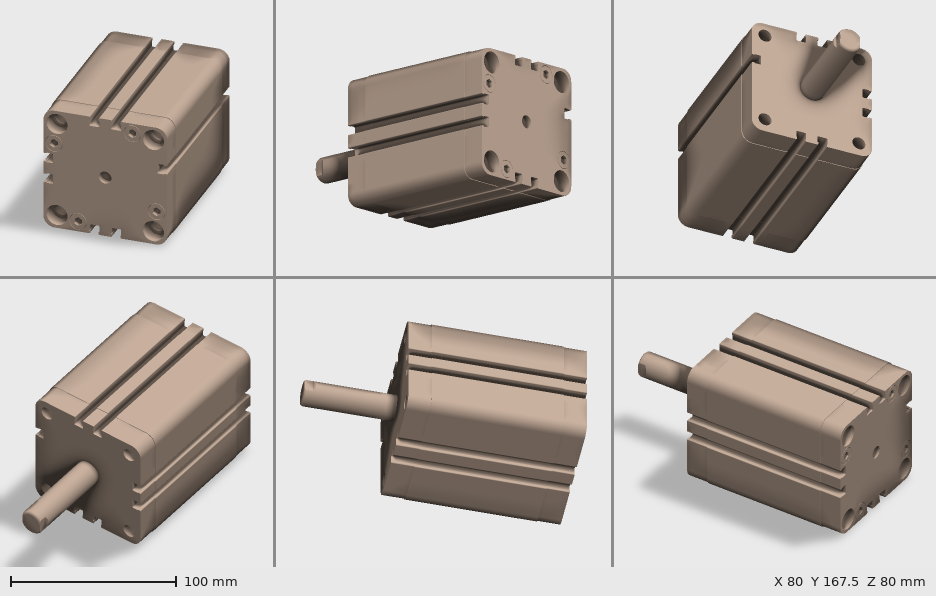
import cadquery as cq
import math

TOTAL_LENGTH = 167.5
ROD_LENGTH = 57.1
HOUSING_LENGTH = TOTAL_LENGTH - ROD_LENGTH

TUBE_SIDE = 80.0
CAP_SIDE = 79.4
CORNER_RADIUS = 7.0
CAP_LENGTH = 14.4
TUBE_LENGTH = HOUSING_LENGTH - 2 * CAP_LENGTH

SLOT_LIP_HEIGHT = 37.7
CAP_SLOT_FLOOR_HEIGHT = 33.5
TUBE_SLOT_FLOOR_HEIGHT = 33.3
SLOT_MOUTH = 5.7
SLOT_WIDTH = 6.5
SLOT_MOUTH_RADIUS = 0.5
SLOT_FLOOR_RADIUS = 0.7
SLOT_PAIR_OFFSET = 7.0
SINGLE_SLOT_HEIGHT = 12.0

MOUNT_OFFSET = 31.0
MOUNT_HOLE_DIAMETER = 8.5
COUNTERBORE_DIAMETER = 13.5
COUNTERBORE_DEPTH = 9.0

SCREW_SIDE_OFFSET = 17.5
SCREW_EDGE_OFFSET = 33.0
SCREW_POCKET_DIAMETER = 11.0
SCREW_HEAD_DIAMETER = 10.5
SCREW_GAP_DEPTH = 6.0
SOCKET_SIDES = 6
SOCKET_FLATS = 5.0
SOCKET_DEPTH = 3.0

PORT_DIAMETER = 8.0
PORT_DEPTH = 4.4

ROD_DIAMETER = 16.0
ROD_END_RADIUS = 1.7
FLATS_WIDTH = 13.0
FLATS_LENGTH = 5.4


def front_plane(y=0.0):
    """XZ sketch plane at the given Y whose normal points along +Y; local x is -X, local y is +Z."""
    return cq.Workplane(cq.Plane(origin=(0, y, 0), xDir=(-1, 0, 0), normal=(0, 1, 0)))


def at(points):
    """Convert (X, Z) places into the local coordinates of a front plane."""
    return [(-x, z) for x, z in points]


def quarter_turns(x, z):
    """The four (X, Z) places reached by turning one place about the Y axis."""
    return [(x, z), (z, -x), (-x, -z), (-z, x)]


def t_slot(top, floor, y, length, offset, turn):
    """T-slot in a face at height top, centred at X = offset, then turned about the Y axis by turn degrees."""
    half_mouth = SLOT_MOUTH / 2
    half_flare = half_mouth + SLOT_MOUTH_RADIUS
    round_start = top - SLOT_MOUTH_RADIUS
    mouth = (
        front_plane(y)
        .center(-offset, 0)
        .moveTo(-half_mouth, SLOT_LIP_HEIGHT)
        .lineTo(half_mouth, SLOT_LIP_HEIGHT)
        .lineTo(half_mouth, round_start)
        .radiusArc((half_flare, top), SLOT_MOUTH_RADIUS)
        .lineTo(-half_flare, top)
        .radiusArc((-half_mouth, round_start), SLOT_MOUTH_RADIUS)
        .close()
        .extrude(length)
    )
    groove_height = SLOT_LIP_HEIGHT - floor
    groove = (
        front_plane(y)
        .center(-offset, floor + groove_height / 2)
        .rect(SLOT_WIDTH, groove_height)
        .extrude(length)
        .faces("<Z")
        .edges("|Y")
        .fillet(SLOT_FLOOR_RADIUS)
    )
    return mouth.union(groove).rotate((0, 0, 0), (0, 1, 0), turn)


def housing_section(side, slot_floor, y, length):
    """Rounded square block with slot pairs on the +Z, -X and -Z faces and a single slot on the +X face."""
    block = front_plane(y).rect(side, side).extrude(length).edges("|Y").fillet(CORNER_RADIUS)
    slots = [(-SINGLE_SLOT_HEIGHT, 90)]
    for turn in (0, -90, 180):
        slots += [(-SLOT_PAIR_OFFSET, turn), (SLOT_PAIR_OFFSET, turn)]
    for offset, turn in slots:
        block = block.cut(t_slot(side / 2, slot_floor, y, length, offset, turn))
    return block


def housing():
    front_cap = housing_section(CAP_SIDE, CAP_SLOT_FLOOR_HEIGHT, 0, CAP_LENGTH)
    tube = housing_section(TUBE_SIDE, TUBE_SLOT_FLOOR_HEIGHT, CAP_LENGTH, TUBE_LENGTH)
    rear_cap = front_cap.translate((0, CAP_LENGTH + TUBE_LENGTH, 0))
    return front_cap.union(tube).union(rear_cap)


def rod():
    half = ROD_DIAMETER / 2
    flat_depth = (ROD_DIAMETER - FLATS_WIDTH) / 2
    profile = (
        cq.Workplane("XY")
        .moveTo(0, HOUSING_LENGTH)
        .lineTo(half, HOUSING_LENGTH)
        .lineTo(half, TOTAL_LENGTH - ROD_END_RADIUS)
        .radiusArc((half - ROD_END_RADIUS, TOTAL_LENGTH), -ROD_END_RADIUS)
        .lineTo(0, TOTAL_LENGTH)
        .close()
    )
    body = profile.revolve(360, (0, 0), (0, 1))

    flat_start = TOTAL_LENGTH - FLATS_LENGTH
    for side in (-1, 1):
        waste = [
            (side * half, flat_start - flat_depth),
            (side * FLATS_WIDTH / 2, flat_start),
            (side * FLATS_WIDTH / 2, TOTAL_LENGTH),
            (side * half, TOTAL_LENGTH),
        ]
        body = body.cut(cq.Workplane("XY").polyline(waste).close().extrude(half, both=True))
    return body


part = housing()

corners = at(quarter_turns(MOUNT_OFFSET, MOUNT_OFFSET))
part = part.cut(front_plane().pushPoints(corners).circle(MOUNT_HOLE_DIAMETER / 2).extrude(HOUSING_LENGTH))
part = part.cut(front_plane().pushPoints(corners).circle(COUNTERBORE_DIAMETER / 2).extrude(COUNTERBORE_DEPTH))

screw_places = quarter_turns(SCREW_SIDE_OFFSET, SCREW_EDGE_OFFSET)
screws = at(screw_places)
pockets = front_plane().pushPoints(screws).circle(SCREW_POCKET_DIAMETER / 2).extrude(SCREW_GAP_DEPTH)
heads = front_plane().pushPoints(screws).circle(SCREW_HEAD_DIAMETER / 2).extrude(SCREW_GAP_DEPTH)
part = part.cut(pockets.cut(heads))
half_corner_angle = 180 / SOCKET_SIDES
corner_diameter = SOCKET_FLATS / math.cos(math.radians(half_corner_angle))
socket = front_plane().polygon(SOCKET_SIDES, corner_diameter).extrude(SOCKET_DEPTH)
socket = socket.rotate((0, 0, 0), (0, 1, 0), half_corner_angle)
for x, z in screw_places:
    part = part.cut(socket.translate((x, 0, z)))

part = part.cut(front_plane().circle(PORT_DIAMETER / 2).extrude(PORT_DEPTH))

result = part.union(rod())